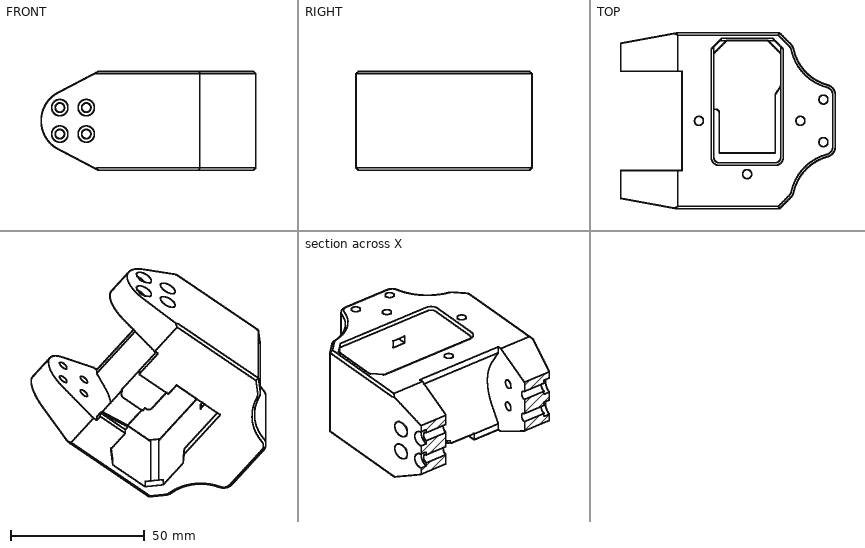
import cadquery as cq
import math


length = 80.4
height = 37.0
width = 66.0
half_height = height / 2
half_width = width / 2
edge_chamfer = 1.0

nose_radius = 12.0
right_end = length - nose_radius
arm_root_x = 9.5
nose_half_width = 29.0
arm_gap = 37.0
gap_end_x = 11.0
arm_hole_pitch = 9.9
arm_hole_diameter = 3.4
arm_bore_diameter = 6.1
arm_bore_floor_y = 27.8

clearance_radius = 17.7
clearance_mouth_half_height = 15.85

corner_cut_x = 47.45
scoop_center_x = 70.0
scoop_center_y = 30.4
scoop_radius = 17.5
scoop_corner_radius = 4.0
end_corner_radius = 4.0

pocket_left = 22.9
pocket_right = 47.95
pocket_front = -15.7
pocket_back = 30.0
pocket_corner_radius = 2.0
pocket_corner_cut = 2.2

floor_thickness = 3.9
floor_top = floor_thickness - half_height
opening_left = 25.0
opening_right = 45.85
opening_front = -12.0
opening_corner_cut = 4.8
left_ledge_end = 4.4
left_ledge_radius = 1.5
right_ledge_end = 9.8
right_ledge_tip = 13.0

recess_front = -7.1
recess_back = 16.3
recess_depth = 2.7
passage_front = 5.9
passage_back = 14.8
passage_mouth_radius = 2.1
passage_mouth_x = 11.7
passage_mouth_flare = 1.4

screw_diameter = 3.4
screw_depth = 11.0
middle_screw_x = 55.35
end_screw_x = 63.95
end_screw_y = 8.0
front_screw = (35.4, -19.95)
left_screw_x = 17.4
left_screw_depth = 8.05
drill_tip_angle = 118.0

nut_width = 5.5
nut_slot_height = 3.0


def box(x_range, y_range, z_range):
    """Axis-aligned box between the given limits."""
    (x0, x1), (y0, y1), (z0, z1) = x_range, y_range, z_range
    return cq.Workplane("XY").box(x1 - x0, y1 - y0, z1 - z0, centered=False).translate((x0, y0, z0))


def prism(outline, z0, z1):
    """Upright prism of a closed XY outline between two heights."""
    return outline.extrude(z1 - z0).translate((0, 0, z0))


def arc_point(center, radius, angle):
    """Point on a circle at the given angle in radians."""
    return center[0] + radius * math.cos(angle), center[1] + radius * math.sin(angle)


def direction(start, end):
    """Angle of the line from one point to another, from 0 to a full turn."""
    return math.atan2(end[1] - start[1], end[0] - start[0]) % (2 * math.pi)


def tangent_point(radius, x, z):
    """Point where the upper tangent from (x, z) touches a circle about the origin."""
    angle = math.atan2(z, x) + math.acos(radius / math.hypot(x, z))
    return arc_point((0, 0), radius, angle)


def make_body():
    """Block with 45 degree corners and two scoops, chamfered round its top and bottom."""
    scoop_center = (scoop_center_x, scoop_center_y)

    end_x = right_end - end_corner_radius
    center_distance = scoop_radius + end_corner_radius
    end_y = scoop_center_y - math.sqrt(center_distance ** 2 - (scoop_center_x - end_x) ** 2)
    end_center = (end_x, end_y)
    touch_angle = direction(end_center, scoop_center)
    end_touch = arc_point(end_center, end_corner_radius, touch_angle)
    end_middle = arc_point(end_center, end_corner_radius, touch_angle / 2)

    corner_sum = corner_cut_x + half_width
    offset = (scoop_center_x + scoop_center_y - corner_sum) / math.sqrt(2)
    start_angle = math.radians(225) - math.acos(offset / scoop_radius)
    scoop_start = arc_point(scoop_center, scoop_radius, start_angle)
    middle_angle = (start_angle + direction(scoop_center, end_touch)) / 2
    scoop_middle = arc_point(scoop_center, scoop_radius, middle_angle)

    def mirror(point):
        return point[0], -point[1]

    outline = (
        cq.Workplane("XY")
        .moveTo(-nose_radius, half_width)
        .lineTo(corner_cut_x, half_width)
        .lineTo(*scoop_start)
        .threePointArc(scoop_middle, end_touch)
        .threePointArc(end_middle, (right_end, end_y))
        .lineTo(right_end, -end_y)
        .threePointArc(mirror(end_middle), mirror(end_touch))
        .threePointArc(mirror(scoop_middle), mirror(scoop_start))
        .lineTo(corner_cut_x, -half_width)
        .lineTo(-nose_radius, -half_width)
        .close()
    )
    body = prism(outline, -half_height, half_height)
    for side in (1, -1):
        picker = cq.selectors.NearestToPointSelector((scoop_start[0], side * scoop_start[1], 0))
        body = body.edges(picker).fillet(scoop_corner_radius)
    return body.faces("|Z").edges().chamfer(edge_chamfer)


def make_arm_envelope():
    """Everything inside the rounded arm profile and the narrowing sides of the arms."""
    touch_x, touch_z = tangent_point(nose_radius, arm_root_x, half_height)
    profile = (
        cq.Workplane("XZ")
        .moveTo(right_end, half_height)
        .lineTo(arm_root_x, half_height)
        .lineTo(touch_x, touch_z)
        .threePointArc((-nose_radius, 0), (touch_x, -touch_z))
        .lineTo(arm_root_x, -half_height)
        .lineTo(right_end, -half_height)
        .close()
        .extrude(half_width, both=True)
    )
    plan = cq.Workplane("XY").polyline([
        (-nose_radius, -nose_half_width),
        (arm_root_x, -half_width),
        (right_end, -half_width),
        (right_end, half_width),
        (arm_root_x, half_width),
        (-nose_radius, nose_half_width),
    ]).close()
    return profile.intersect(prism(plan, -half_height, half_height))


def make_arm_gap():
    """Space between the arms, with the rounded clearance behind it."""
    gap = box(
        (-nose_radius, gap_end_x), (-arm_gap / 2, arm_gap / 2), (-half_height, half_height)
    )
    mouth = clearance_mouth_half_height
    angle = math.atan2(mouth, gap_end_x) - math.acos(clearance_radius / math.hypot(gap_end_x, mouth))
    touch_x, touch_z = arc_point((0, 0), clearance_radius, angle)
    clearance = (
        cq.Workplane("XZ")
        .moveTo(0, mouth)
        .lineTo(gap_end_x, mouth)
        .lineTo(touch_x, touch_z)
        .threePointArc((clearance_radius, 0), (touch_x, -touch_z))
        .lineTo(gap_end_x, -mouth)
        .lineTo(0, -mouth)
        .close()
        .extrude(arm_gap / 2, both=True)
    )
    return gap.union(clearance)


def make_arm_holes():
    """Four counterbored holes through each arm, bored from its outer side."""
    half_pitch = arm_hole_pitch / 2
    centers = [(x, z) for x in (-half_pitch, half_pitch) for z in (-half_pitch, half_pitch)]
    plane = cq.Workplane("XZ").pushPoints(centers)
    holes = plane.circle(arm_hole_diameter / 2).extrude(half_width, both=True)
    bores = plane.circle(arm_bore_diameter / 2).extrude(half_width, both=True)
    between_bores = box(
        (-nose_radius, arm_root_x),
        (-arm_bore_floor_y, arm_bore_floor_y),
        (-half_height, half_height),
    )
    return holes.union(bores.cut(between_bores))


def make_pocket():
    """Deep pocket with a chamfered rim; 45 degree cuts across its back corners stay upright."""
    rim = edge_chamfer
    pocket = box(
        (pocket_left, pocket_right), (pocket_front, pocket_back), (floor_top, half_height)
    ).edges("|Z and <Y").fillet(pocket_corner_radius)
    flare = box(
        (pocket_left - rim, pocket_right + rim),
        (pocket_front - rim, pocket_back + rim),
        (half_height - rim, half_height + rim),
    ).edges("|Z and <Y").fillet(pocket_corner_radius + rim).faces("<Z").chamfer(rim)
    corner_reach = pocket_corner_cut + 2 * rim
    bound = prism(
        cq.Workplane("XY").polyline([
            (pocket_left - rim, pocket_front - rim),
            (pocket_right + rim, pocket_front - rim),
            (pocket_right + rim, pocket_back + rim - corner_reach),
            (pocket_right + rim - corner_reach, pocket_back + rim),
            (pocket_left - rim + corner_reach, pocket_back + rim),
            (pocket_left - rim, pocket_back + rim - corner_reach),
        ]).close(),
        floor_top,
        half_height,
    )
    return pocket.union(flare).intersect(bound)


def make_floor_opening():
    """Opening through the pocket floor that leaves ledges along the front and the sides."""
    arc_center = (opening_left - left_ledge_radius, left_ledge_end - left_ledge_radius)
    outline = (
        cq.Workplane("XY")
        .moveTo(opening_left, opening_front)
        .lineTo(opening_right, opening_front)
        .lineTo(opening_right, right_ledge_end)
        .lineTo(pocket_right, right_ledge_tip)
        .lineTo(pocket_right, pocket_back - opening_corner_cut)
        .lineTo(pocket_right - opening_corner_cut, pocket_back)
        .lineTo(pocket_left + opening_corner_cut, pocket_back)
        .lineTo(pocket_left, pocket_back - opening_corner_cut)
        .lineTo(pocket_left, left_ledge_end)
        .lineTo(opening_left - left_ledge_radius, left_ledge_end)
        .threePointArc(
            arc_point(arc_center, left_ledge_radius, math.radians(45)),
            (opening_left, left_ledge_end - left_ledge_radius),
        )
        .close()
    )
    return prism(outline, -half_height, floor_top)


def make_cable_way():
    """Shallow recess from the arm gap to the pocket, with a taller passage that widens at its mouth."""
    recess = box(
        (gap_end_x, opening_left),
        (recess_front, recess_back),
        (-half_height, recess_depth - half_height),
    )
    radius = passage_mouth_radius
    arc_center = (passage_mouth_x + radius, passage_front - radius)
    passage = (
        cq.Workplane("XY")
        .moveTo(gap_end_x, passage_front - radius)
        .lineTo(passage_mouth_x, passage_front - radius)
        .threePointArc(
            arc_point(arc_center, radius, math.radians(135)),
            (passage_mouth_x + radius, passage_front),
        )
        .lineTo(pocket_left, passage_front)
        .lineTo(pocket_left, passage_back)
        .lineTo(gap_end_x, passage_back + passage_mouth_flare)
        .close()
    )
    return recess.union(prism(passage, -half_height, floor_top))


def make_screw_holes():
    """Blind screw holes in the top; the one beside the arm gap ends in a drill tip."""
    flat_holes = (
        cq.Workplane("XY", origin=(0, 0, half_height))
        .pushPoints([
            (middle_screw_x, 0),
            (end_screw_x, end_screw_y),
            (end_screw_x, -end_screw_y),
            front_screw,
        ])
        .circle(screw_diameter / 2)
        .extrude(-screw_depth)
    )
    radius = screw_diameter / 2
    tip_depth = radius / math.tan(math.radians(drill_tip_angle / 2))
    left_hole = (
        cq.Workplane("XZ", origin=(left_screw_x, 0, half_height))
        .polyline([(0, 0), (radius, 0), (radius, -left_screw_depth), (0, -left_screw_depth - tip_depth)])
        .close()
        .revolve(360, (0, 0), (0, 1))
    )
    return flat_holes.union(left_hole)


def make_nut_slot():
    """Slot from the pocket that carries a nut under the middle screw hole."""
    slot_floor = half_height - screw_depth
    return box(
        (pocket_right, middle_screw_x + nut_width / 2),
        (-nut_width / 2, nut_width / 2),
        (slot_floor, slot_floor + nut_slot_height),
    )


result = (
    make_body()
    .intersect(make_arm_envelope())
    .cut(make_arm_gap())
    .cut(make_arm_holes())
    .cut(make_pocket())
    .cut(make_floor_opening())
    .cut(make_cable_way())
    .cut(make_screw_holes())
    .cut(make_nut_slot())
)